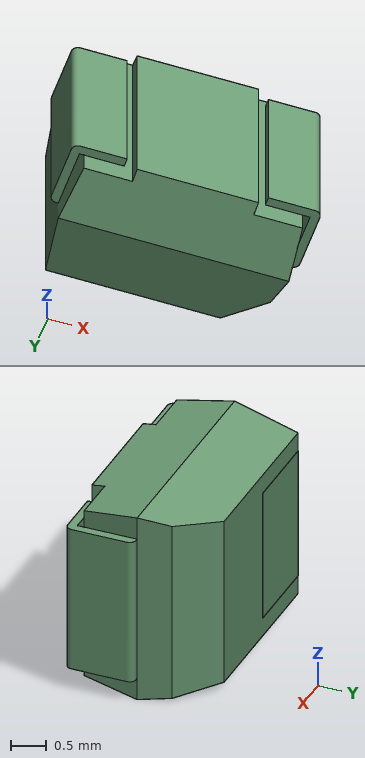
import cadquery as cq

overall_width = 3.7
body_height = 2.098
mark_thickness = 0.005

parting_width = 3.435
parting_depth = 3.0
parting_height = 1.05
base_width = 3.255
roof_half_left = 1.545
roof_depth = 2.655
base_depth = 2.655
pedestal_width = 1.805
recess_height = 0.2
roof_end_right = 1.055
bevel_size = 0.555

lead_depth = 2.3
lead_thickness = (overall_width - parting_width) / 2
lead_foot = 0.8
lead_radius = 0.1

mark_width = 1.247
mark_depth = 2.06
mark_center_x = -0.925

base_y = -(body_height + mark_thickness) / 2
roof_y = base_y + body_height
parting_y = base_y + parting_height


def prism(points, depth):
    """Extrude an XY outline symmetrically about Z = 0."""
    return cq.Workplane("XY").polyline(points).close().extrude(depth / 2, both=True)


def make_housing():
    """Outline in XY, intersected with the tapered outline in YZ."""
    recess_y = base_y + recess_height
    parting_half = parting_width / 2
    front_outline = [
        (-pedestal_width / 2, base_y),
        (pedestal_width / 2, base_y),
        (pedestal_width / 2, recess_y),
        (base_width / 2, recess_y),
        (parting_half, parting_y),
        (roof_end_right + bevel_size, roof_y - bevel_size),
        (roof_end_right, roof_y),
        (-roof_half_left, roof_y),
        (-parting_half, parting_y),
        (-base_width / 2, recess_y),
        (-pedestal_width / 2, recess_y),
    ]
    side_outline = [
        (base_y, -base_depth / 2),
        (parting_y, -parting_depth / 2),
        (roof_y, -roof_depth / 2),
        (roof_y, roof_depth / 2),
        (parting_y, parting_depth / 2),
        (base_y, base_depth / 2),
    ]
    side_prism = (
        cq.Workplane("YZ").polyline(side_outline).close().extrude(overall_width / 2, both=True)
    )
    return prism(front_outline, parting_depth).intersect(side_prism)


def make_lead(side):
    """L-shaped strip on one side (-1 left, +1 right), with rounded outer corners."""
    outer_x = side * overall_width / 2
    inner_x = side * parting_width / 2
    foot_x = side * (overall_width / 2 - lead_foot)
    foot_top_y = base_y + lead_thickness
    outline = [
        (foot_x, base_y),
        (outer_x, base_y),
        (outer_x, parting_y),
        (inner_x, parting_y),
        (inner_x, foot_top_y),
        (foot_x, foot_top_y),
    ]
    outer_edges = "<X" if side < 0 else ">X"
    return prism(outline, lead_depth).faces(outer_edges).edges("|Z").fillet(lead_radius)


def make_mark():
    """Thin rectangular polarity mark resting on the roof."""
    return cq.Workplane("XY").box(mark_width, mark_thickness, mark_depth).translate(
        (mark_center_x, roof_y + mark_thickness / 2, 0)
    )


housing = make_housing()
leads = [make_lead(side) for side in (-1, 1)]
mark = make_mark()

result = cq.Compound.makeCompound([housing.val(), *[lead.val() for lead in leads], mark.val()])